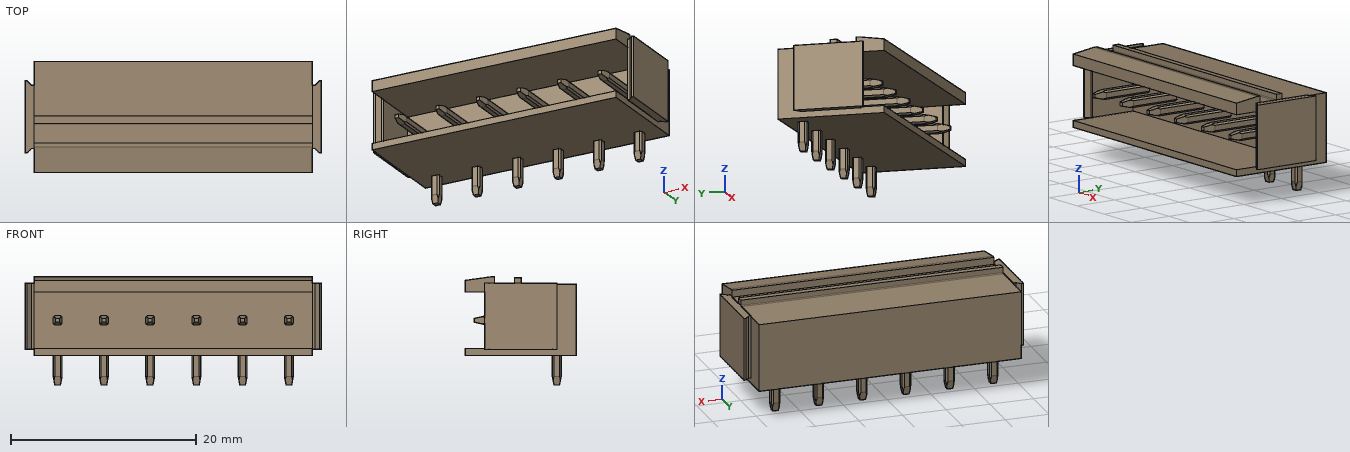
import cadquery as cq


flange_span = 32.0
housing_length = 30.0
housing_depth = 12.0
deck_height = 7.7
floor_thickness = 0.77
ceiling_height = 6.85
cavity_depth = 8.0

lip_depth = 3.17
lip_flat = 0.4
lip_height = 8.5
lip_front_height = 8.13

ridge_front = 5.3
ridge_width = 0.77
ridge_height = 8.4
ridge_fillet = 0.1

flange_front = 2.1
flange_width = 7.8
flange_bottom = 0.67
flange_top = 7.8
flange_rim = 0.22
flange_taper = 0.48

pin_count = 6
pin_pitch = 5.0
pin_size = 1.0
pin_edge_chamfer = 0.2
contact_height = 3.8
contact_front = 0.95
contact_tip_length = 1.28
contact_tip_size = 0.4
leg_setback = 2.1
leg_length = 3.2
leg_tip_length = 0.95
leg_tip_size = 0.6

leg_y = housing_depth - leg_setback


def side_profile(start):
    """Start a YZ outline at a (y, z) point, on the -X end of the housing."""
    return cq.Workplane("YZ", origin=(-housing_length / 2, 0, 0)).moveTo(*start)


def make_shell():
    """C-shaped housing section: back wall, floor and lid with the latching lip."""
    return (
        side_profile((0, 0))
        .lineTo(housing_depth, 0)
        .lineTo(housing_depth, deck_height)
        .lineTo(lip_depth, deck_height)
        .lineTo(lip_depth, lip_height)
        .lineTo(lip_depth - lip_flat, lip_height)
        .lineTo(0, lip_front_height)
        .lineTo(0, ceiling_height)
        .lineTo(cavity_depth, ceiling_height)
        .lineTo(cavity_depth, floor_thickness)
        .lineTo(0, floor_thickness)
        .close()
        .extrude(housing_length)
    )


def make_ridge():
    """Rectangular ridge whose foot flares into the deck with concave fillets."""
    ridge_back = ridge_front + ridge_width
    foot_top = deck_height + ridge_fillet
    return (
        side_profile((ridge_front - ridge_fillet, deck_height))
        .radiusArc((ridge_front, foot_top), -ridge_fillet)
        .lineTo(ridge_front, ridge_height)
        .lineTo(ridge_back, ridge_height)
        .lineTo(ridge_back, foot_top)
        .radiusArc((ridge_back + ridge_fillet, deck_height), -ridge_fillet)
        .close()
        .extrude(housing_length)
    )


def make_flange(side):
    """Dovetail flange on one end: side is +1 for the +X end and -1 for the -X end."""
    wall_x = side * housing_length / 2
    outer_x = side * flange_span / 2
    rim_x = outer_x - side * flange_rim
    neck_x = rim_x - side * flange_taper
    flange_back = flange_front + flange_width
    neck_front = flange_front + flange_taper
    neck_back = flange_back - flange_taper
    return (
        cq.Workplane("XY", origin=(0, 0, flange_bottom))
        .polyline([
            (wall_x, neck_front),
            (neck_x, neck_front),
            (rim_x, flange_front),
            (outer_x, flange_front),
            (outer_x, flange_back),
            (rim_x, flange_back),
            (neck_x, neck_back),
            (wall_x, neck_back),
        ])
        .close()
        .extrude(flange_top - flange_bottom)
    )


def pin_section():
    """Square pin section with chamfered corners."""
    return cq.Sketch().rect(pin_size, pin_size).vertices().chamfer(pin_edge_chamfer)


def pin_tip(plane, length, end_size):
    """Chamfered bar narrowed by a square taper along the normal of the plane."""
    taper = (
        cq.Workplane(plane)
        .rect(pin_size, pin_size)
        .workplane(offset=length)
        .rect(end_size, end_size)
        .loft(ruled=True)
    )
    bar = cq.Workplane(plane).placeSketch(pin_section()).extrude(length)
    return bar.intersect(taper)


def make_pin(x):
    """Right-angle pin: a contact pointing to the front and a solder leg pointing down."""
    contact_root = contact_front + contact_tip_length
    leg_root = leg_tip_length - leg_length
    forward = cq.Plane(origin=(x, contact_root, contact_height), xDir=(1, 0, 0), normal=(0, -1, 0))
    downward = cq.Plane(origin=(x, leg_y, leg_root), xDir=(1, 0, 0), normal=(0, 0, -1))

    centre_line = (
        cq.Workplane("YZ", origin=(x, 0, 0))
        .moveTo(leg_y, leg_root)
        .lineTo(leg_y, contact_height)
        .lineTo(contact_root, contact_height)
    )
    shank = (
        cq.Workplane(downward)
        .placeSketch(pin_section())
        .sweep(centre_line, transition="right")
    )
    contact_tip = pin_tip(forward, contact_tip_length, contact_tip_size)
    leg_tip = pin_tip(downward, leg_tip_length, leg_tip_size)
    return shank.union(contact_tip).union(leg_tip)


first_pin_x = -pin_pitch * (pin_count - 1) / 2
pins = [make_pin(first_pin_x + i * pin_pitch) for i in range(pin_count)]

housing = make_shell().union(make_ridge())
for end in (-1, 1):
    housing = housing.union(make_flange(end))
for pin in pins:
    housing = housing.cut(pin)

result = cq.Compound.makeCompound([housing.solids().val(), *[pin.solids().val() for pin in pins]])